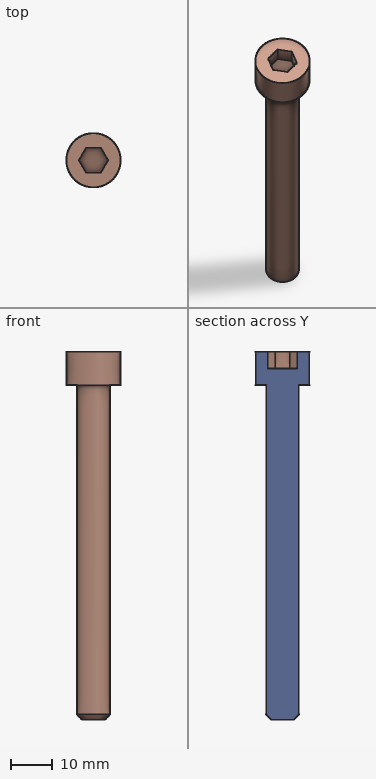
import cadquery as cq

total_length = 88.0
head_diameter = 13.0
shank_diameter = 8.0
head_height = shank_diameter
tip_diameter = 5.5
tip_height = (shank_diameter - tip_diameter) / 2

socket_across_corners = 6.95
socket_depth = 4.0

head_bottom = total_length - head_height
head_radius = head_diameter / 2
shank_radius = shank_diameter / 2
tip_radius = tip_diameter / 2


def screw_body():
    """Revolved head, shank and chamfered tip."""
    profile = (
        cq.Workplane("XZ")
        .lineTo(tip_radius, 0)
        .lineTo(shank_radius, tip_height)
        .lineTo(shank_radius, head_bottom)
        .lineTo(head_radius, head_bottom)
        .lineTo(head_radius, total_length)
        .lineTo(0, total_length)
        .close()
    )
    return profile.revolve(360, (0, 0, 0), (0, 1, 0))


def hex_socket():
    """Hexagonal recess sunk from the top of the head."""
    return (
        cq.Workplane("XY")
        .workplane(offset=total_length - socket_depth)
        .polygon(6, socket_across_corners)
        .extrude(socket_depth)
    )


result = screw_body().cut(hex_socket())